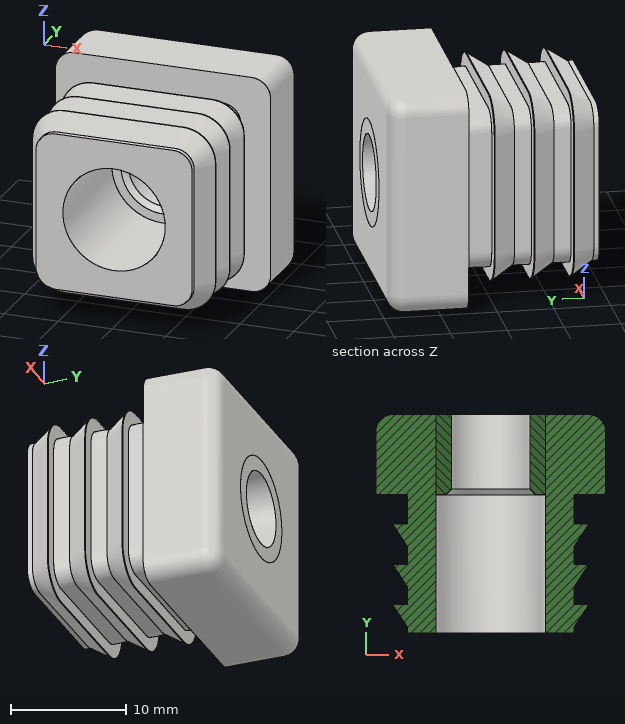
import cadquery as cq


fin_count = 3
fin_width = 17.0
fin_corner_radius = 3.0
fin_lip = 0.08
fin_length = 2.0
fin_pitch = 3.5
first_fin_gap = 2.5
fin_slope_length = fin_length - fin_lip

stem_width = 14.5
stem_length = 12.0
fin_height = (fin_width - stem_width) / 2
stem_corner_radius = fin_corner_radius - fin_height

head_width = 20.0
head_length = 7.0
head_corner_radius = stem_corner_radius
head_edge_radius = 1.5

bore_diameter = 9.5
insert_hole_diameter = 6.8
insert_mouth_diameter = 7.8
insert_chamfer = (insert_mouth_diameter - insert_hole_diameter) / 2


def rounded_square(width, corner_radius):
    return cq.Sketch().rect(width, width).vertices().fillet(corner_radius)


def front_plane(depth):
    """Workplane at the given distance in front of the shoulder, facing -Y."""
    return cq.Workplane("XZ", origin=(0, -depth, 0))


def rounded_block(start, length, width, corner_radius):
    return front_plane(start).placeSketch(rounded_square(width, corner_radius)).extrude(length)


def make_head():
    head = rounded_block(-head_length, head_length, head_width, head_corner_radius)
    return head.faces(">Y").edges().fillet(head_edge_radius)


def make_fin(start):
    """Straight lip at the head end, then a slope down to the stem surface."""
    lip = rounded_block(start, fin_lip, fin_width, fin_corner_radius)
    wide_end = rounded_square(fin_width, fin_corner_radius)
    narrow_end = rounded_square(stem_width, stem_corner_radius)
    slope_offset = cq.Location(cq.Vector(0, 0, fin_slope_length))
    slope = front_plane(start + fin_lip).placeSketch(wide_end, narrow_end.moved(slope_offset)).loft()
    return lip.union(slope)


def make_plug():
    plug = make_head().union(rounded_block(0, stem_length, stem_width, stem_corner_radius))
    for index in range(fin_count):
        plug = plug.union(make_fin(first_fin_gap + index * fin_pitch))
    bore = front_plane(-head_length).circle(bore_diameter / 2).extrude(head_length + stem_length)
    return plug.cut(bore)


def make_insert():
    """Sleeve filling the bore within the head, with its hole chamfered at the stem end."""
    sleeve = front_plane(-head_length).circle(bore_diameter / 2).circle(insert_hole_diameter / 2)
    sleeve = sleeve.extrude(head_length)
    return sleeve.faces("<Y").edges(cq.selectors.RadiusNthSelector(0)).chamfer(insert_chamfer)


plug = make_plug()
insert = make_insert()

result = cq.Compound.makeCompound([plug.val(), insert.val()])